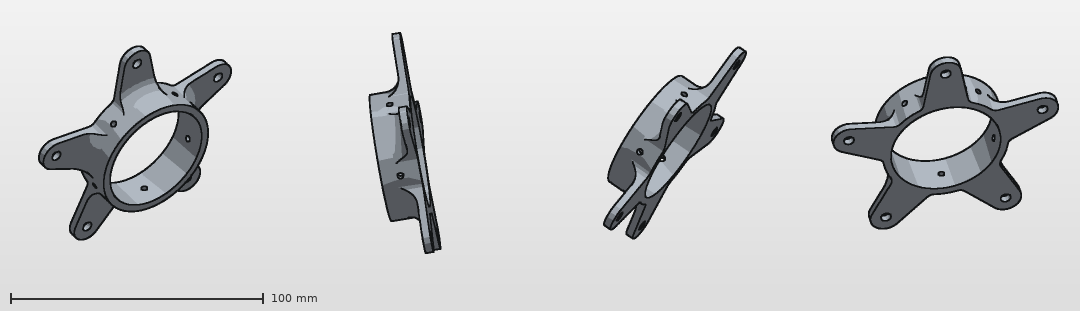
import cadquery as cq
import math

bore_radius = 44.45 / 2
hub_radius = 50.8 / 2
hub_length = 15.875

arm_count = 5
arm_pitch = 360 / arm_count
arm_thickness = 3.175
arm_tip_radius = 6.35
arm_taper = math.radians(9.4)
bolt_circle_radius = 41.275
bolt_hole_diameter = 4.04

side_blend_radius = 3.175
back_blend_radius = 6.35
blend_length = arm_thickness + back_blend_radius

screw_hole_diameter = 2.38
screw_hole_x = hub_length / 2

axis_start = (0, 0, 0)
axis_end = (1, 0, 0)


def make_cylinder(radius):
    return cq.Workplane("YZ").circle(radius).extrude(hub_length)


def make_arm_prism():
    """One arm outline along +Z, with its side blends, as deep as the back blend."""
    sin_taper = math.sin(arm_taper)
    cos_taper = math.cos(arm_taper)

    side_offset = bolt_circle_radius * sin_taper + arm_tip_radius
    tip_end = (arm_tip_radius * cos_taper, bolt_circle_radius + arm_tip_radius * sin_taper)

    center_distance = hub_radius + side_blend_radius
    center_offset = side_offset + side_blend_radius
    center_along = math.sqrt(center_distance**2 - center_offset**2)
    center_y = center_offset * cos_taper - center_along * sin_taper
    center_z = center_offset * sin_taper + center_along * cos_taper

    def blend_point(angle):
        return (
            center_y + side_blend_radius * math.cos(angle),
            center_z + side_blend_radius * math.sin(angle),
        )

    side_angle = math.pi + arm_taper
    hub_angle = math.pi + math.atan2(center_z, center_y)
    side_end = blend_point(side_angle)
    blend_middle = blend_point((side_angle + hub_angle) / 2)
    hub_end = blend_point(hub_angle)

    def mirrored(point):
        return (-point[0], point[1])

    return (
        cq.Workplane("YZ")
        .moveTo(0, 0)
        .lineTo(*hub_end)
        .threePointArc(blend_middle, side_end)
        .lineTo(*tip_end)
        .threePointArc((0, bolt_circle_radius + arm_tip_radius), mirrored(tip_end))
        .lineTo(*mirrored(side_end))
        .threePointArc(mirrored(blend_middle), mirrored(hub_end))
        .close()
        .extrude(blend_length)
    )


def make_flange():
    """Disc with a concave blend onto the hub, which the arm outlines are cut from."""
    flange_radius = bolt_circle_radius + 2 * arm_tip_radius
    arc_center_radius = hub_radius + back_blend_radius
    arc_reach = back_blend_radius * math.sqrt(0.5)
    return (
        cq.Workplane("XY")
        .moveTo(0, 0)
        .lineTo(0, flange_radius)
        .lineTo(arm_thickness, flange_radius)
        .lineTo(arm_thickness, arc_center_radius)
        .threePointArc(
            (blend_length - arc_reach, arc_center_radius - arc_reach),
            (blend_length, hub_radius),
        )
        .lineTo(blend_length, 0)
        .close()
        .revolve(360, axis_start, axis_end)
    )


def make_arm():
    bolt_hole = (
        cq.Workplane("YZ")
        .center(0, bolt_circle_radius)
        .circle(bolt_hole_diameter / 2)
        .extrude(arm_thickness)
    )
    return make_arm_prism().intersect(make_flange()).cut(bolt_hole)


def make_screw_hole():
    return (
        cq.Workplane("XY")
        .center(screw_hole_x, 0)
        .circle(screw_hole_diameter / 2)
        .extrude(hub_radius + arm_thickness)
        .rotate(axis_start, axis_end, arm_pitch / 2)
    )


body = make_cylinder(hub_radius)
arm = make_arm()
for index in range(arm_count):
    body = body.union(arm.rotate(axis_start, axis_end, index * arm_pitch))
body = body.cut(make_cylinder(bore_radius))

screw_hole = make_screw_hole()
for index in range(arm_count):
    body = body.cut(screw_hole.rotate(axis_start, axis_end, index * arm_pitch))

result = body